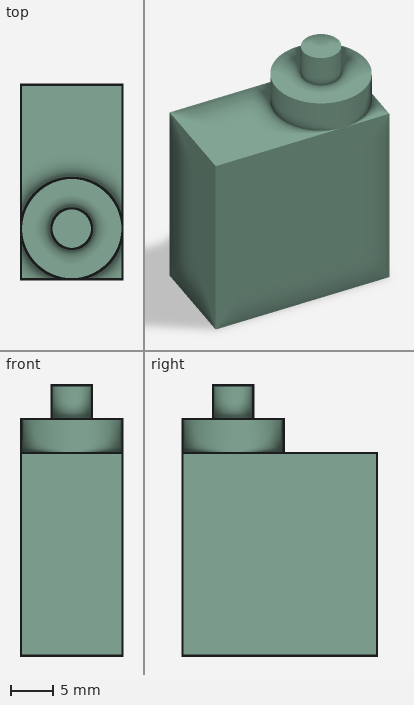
import cadquery as cq

body_width = 12.0
body_length = 23.0
body_height = 24.0

collar_diameter = body_width
collar_height = 4.0
shaft_diameter = 4.8
shaft_height = 4.0

axis_y = (collar_diameter - body_length) / 2


def upright_cylinder(diameter, height, base_z):
    """Cylinder on the shaft axis, standing on the given height."""
    return cq.Workplane("XY", origin=(0, axis_y, base_z)).circle(diameter / 2).extrude(height)


body = cq.Workplane("XY").box(body_width, body_length, body_height, centered=(True, True, False))
collar = upright_cylinder(collar_diameter, collar_height, body_height)
shaft = upright_cylinder(shaft_diameter, shaft_height, body_height + collar_height)

result = body.union(collar).union(shaft)